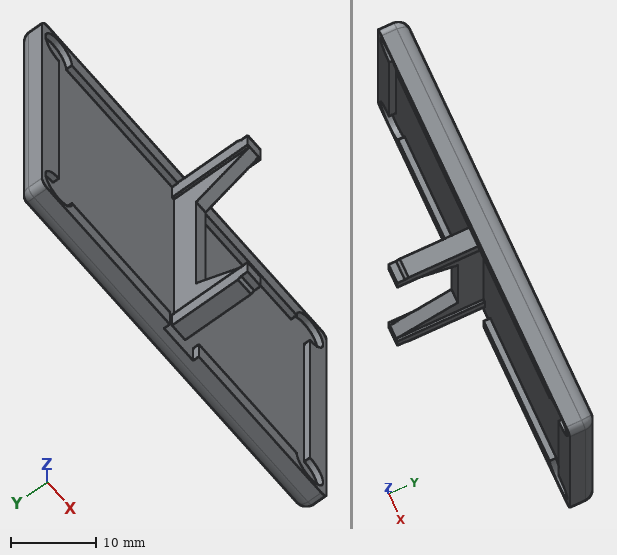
import cadquery as cq

plate_width = 54.0
plate_height = 40.0
plate_thickness = 3.5
corner_radius = 1.0
back_edge_radius = 1.5

recess_depth = 0.85
side_rim_width = 3.2
end_rim_width = 3.0
relief_radius = 2.5
rim_gap_width = 5.5

clip_reach = 10.5
leg_width = 2.5
leg_outer_z = 17.1
leg_inner_z = 14.45
web_width = 1.8
web_rise = 2.5
web_slope_start_z = 10.0

tip_step = 0.3
tip_length = 0.95
tip_ramp_length = 0.5

recess_width = plate_width - 2 * side_rim_width
recess_height = plate_height - 2 * end_rim_width


def front_prism(sketch):
    """Extrude a front-face sketch from Y = 0 to the recess floor."""
    return sketch.extrude(-recess_depth)


def make_plate():
    blank = cq.Workplane("XY").box(
        plate_width, plate_thickness, plate_height, centered=(True, False, True)
    )
    rounded_back = blank.faces(">Y").edges().fillet(back_edge_radius)
    return rounded_back.edges("|Y").fillet(corner_radius)


def make_recess():
    front = cq.Workplane("XZ")
    floor = front_prism(front.rect(recess_width, recess_height))
    reliefs = front_prism(
        front.rect(recess_width, recess_height, forConstruction=True).vertices().circle(relief_radius)
    )
    gap_center_z = -(plate_height - end_rim_width) / 2
    rim_gap = front_prism(front.center(0, gap_center_z).rect(rim_gap_width, end_rim_width))
    return floor.union(reliefs).union(rim_gap)


def clip_prism(profile, width):
    """Extrude a closed (Y, Z) profile symmetrically about X = 0."""
    return cq.Workplane("YZ").polyline(profile).close().extrude(width / 2, both=True)


def make_leg():
    tip_z = leg_outer_z - tip_step
    step_y = -clip_reach + tip_length
    profile = [
        (recess_depth, leg_inner_z),
        (recess_depth, leg_outer_z),
        (step_y + tip_ramp_length, leg_outer_z),
        (step_y, tip_z),
        (-clip_reach, tip_z),
        (-clip_reach, leg_inner_z),
    ]
    return clip_prism(profile, leg_width)


def make_web():
    profile = [
        (recess_depth, -leg_inner_z),
        (-clip_reach, -leg_inner_z),
        (-web_rise, -web_slope_start_z),
        (-web_rise, web_slope_start_z),
        (-clip_reach, leg_inner_z),
        (recess_depth, leg_inner_z),
    ]
    return clip_prism(profile, web_width)


upper_leg = make_leg()
lower_leg = upper_leg.mirror("XY")
result = make_plate().cut(make_recess()).union(make_web()).union(upper_leg).union(lower_leg)